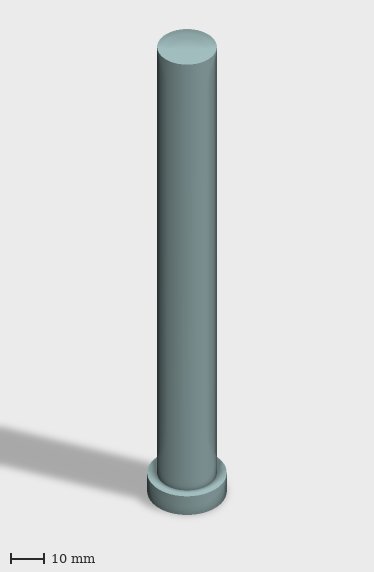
import cadquery as cq

total_length = 167.0
head_diameter = 24.0
head_height = 7.0
shaft_diameter = 18.0

head = cq.Workplane("XY").circle(head_diameter / 2).extrude(head_height)
shaft = cq.Workplane("XY").circle(shaft_diameter / 2).extrude(total_length)

result = head.union(shaft)